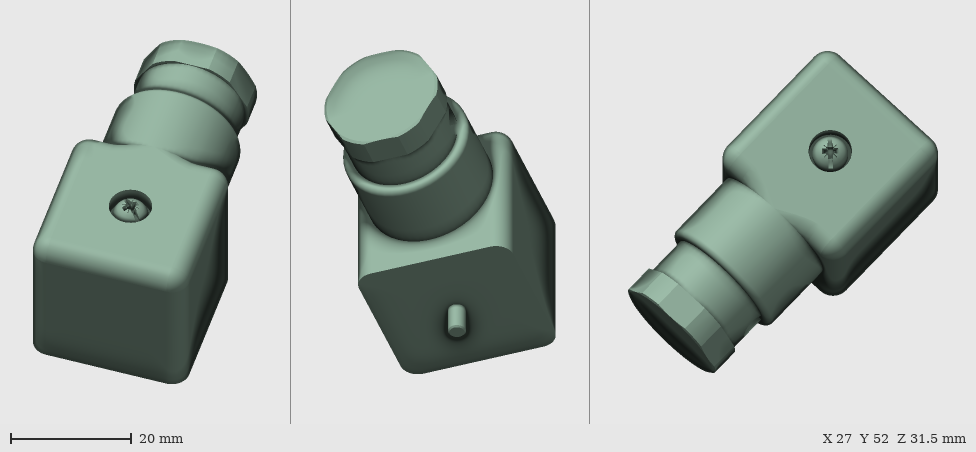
import cadquery as cq
import math


block_side = 27.0
block_height = 26.5
block_round = 3.0
block_back = block_side / 2

overall_length = 52.0
collar_radius = 11.0
collar_length = 13.0
collar_round = 1.0
neck_radius = 9.3
nut_length = 5.0
nut_flats = 18.95
nut_corner_radius = 9.95
nut_chamfer_length = 0.2
nut_turn = 30
axis_height = block_height - collar_radius
nut_end = overall_length - block_back
nut_start = nut_end - nut_length

blend_half_width = math.sqrt(collar_radius**2 - (collar_radius - block_round) ** 2)
blend_steps = 8

mark_recess_diameter = 4.6
mark_disc_diameter = 2.5
mark_recess_depth = 1.55
mark_disc_height = 0.2
mark_y = 28.5

bore_diameter = 7.2
bore_depth = 3.0
washer_diameter = 6.7
washer_thickness = 0.5
head_diameter = 5.95
dome_radius = 3.1
dome_rise = 0.3
shank_diameter = 3.0
shank_length = 4.8
shank_chamfer = 0.25

drive_angle = 45
slot_width = 0.75
slot_floor = block_height - 1.2
cross_width = 0.9
cross_top_reach = 1.5
cross_floor_reach = 0.8
cross_floor = block_height - 1.85
cross_center_top_radius = 0.9
cross_center_floor_radius = 0.2
notch_width = 0.1
notch_reach = 1.5
notch_floor = block_height - 0.5


def along_entry(y):
    """Work plane across the cable entry axis, facing +Y."""
    return cq.Workplane(cq.Plane(origin=(0, y, axis_height), xDir=(1, 0, 0), normal=(0, 1, 0)))


def round_inset(x):
    """How far the back top rounding reaches in from the back face, at a distance x from the middle.

    The rounding keeps its radius and passes through the rim of the collar.
    """
    rim_drop = collar_radius - math.sqrt(collar_radius**2 - x**2)
    return math.sqrt(max(block_round**2 - (block_round - rim_drop) ** 2, 0))


def rounding_cutter():
    """Concave cutter for one half of the back top rounding, between the middle and the straight part."""
    sections = []
    for i in range(blend_steps + 1):
        x = blend_half_width * i / blend_steps
        arc_start = block_back - round_inset(x)
        diagonal = block_round * math.sqrt(0.5)
        wire = (
            cq.Workplane("YZ", origin=(x, arc_start, block_height))
            .moveTo(0, 0)
            .threePointArc((diagonal, diagonal - block_round), (block_round, -block_round))
            .lineTo(block_round, block_round)
            .lineTo(0, block_round)
            .close()
        )
        sections.append(wire.val())
    return cq.Workplane(cq.Solid.makeLoft(sections))


def make_block():
    block = (
        cq.Workplane("XY")
        .box(block_side, block_side, block_height, centered=(True, True, False))
        .edges("|Z or >Z")
        .fillet(block_round)
    )
    fill = cq.Workplane("XY", origin=(0, block_back - block_round, block_height - block_round)).box(
        2 * blend_half_width, block_round, block_round, centered=(True, False, False)
    )
    cutter = rounding_cutter()
    return block.union(fill).cut(cutter).cut(cutter.mirror("YZ"))


def make_neck():
    neck = along_entry(block_back).circle(neck_radius).extrude(nut_start - block_back)
    floor_x = mark_recess_depth - neck_radius
    floor = cq.Workplane("YZ", origin=(floor_x, mark_y, axis_height))
    recess = floor.circle(mark_recess_diameter / 2).extrude(-neck_radius)
    disc = floor.circle(mark_disc_diameter / 2).extrude(-mark_disc_height)
    return neck.cut(recess).union(disc)


def make_collar():
    return (
        along_entry(block_back)
        .circle(collar_radius)
        .extrude(collar_length)
        .faces(">Y")
        .edges()
        .fillet(collar_round)
    )


def make_nut():
    hexagon = (
        along_entry(nut_start)
        .polygon(6, nut_flats, circumscribed=True)
        .extrude(nut_length)
        .rotate((0, 0, axis_height), (0, 1, axis_height), nut_turn)
    )
    envelope = (
        along_entry(nut_start)
        .circle(nut_corner_radius)
        .extrude(nut_length)
        .faces(">Y")
        .chamfer(nut_chamfer_length, nut_corner_radius - nut_flats / 2)
    )
    return hexagon.intersect(envelope)


def make_drive():
    """Everything removed from the screw head for the driver."""
    top = block_height + dome_rise
    slot = cq.Workplane("XY", origin=(0, 0, slot_floor)).box(
        head_diameter, slot_width, top - slot_floor, centered=(True, True, False)
    )
    drive = slot.rotate((0, 0, 0), (0, 0, 1), -drive_angle)
    arm = (
        cq.Workplane("XZ")
        .moveTo(-cross_floor_reach, cross_floor)
        .lineTo(cross_floor_reach, cross_floor)
        .lineTo(cross_top_reach, top)
        .lineTo(-cross_top_reach, top)
        .close()
        .extrude(cross_width / 2, both=True)
    )
    for angle in (drive_angle, -drive_angle):
        drive = drive.union(arm.rotate((0, 0, 0), (0, 0, 1), angle))
    center = cq.Solid.makeCone(
        cross_center_floor_radius, cross_center_top_radius, top - cross_floor, pnt=(0, 0, cross_floor)
    )
    drive = drive.union(cq.Workplane(center))
    for length_x, length_y in ((2 * notch_reach, notch_width), (notch_width, 2 * notch_reach)):
        notch = cq.Workplane("XY", origin=(0, 0, notch_floor)).box(
            length_x, length_y, top - notch_floor, centered=(True, True, False)
        )
        drive = drive.union(notch)
    return drive


def make_screw_head():
    seat = block_height - bore_depth
    washer = cq.Workplane("XY", origin=(0, 0, seat)).circle(washer_diameter / 2).extrude(washer_thickness)
    dome_center = block_height + dome_rise - dome_radius
    dome = cq.Workplane("XY", origin=(0, 0, dome_center)).sphere(dome_radius)
    barrel = cq.Workplane("XY", origin=(0, 0, seat)).circle(head_diameter / 2).extrude(bore_depth + dome_rise)
    return barrel.intersect(dome).cut(make_drive()).union(washer)


def make_shank():
    return (
        cq.Workplane("XY")
        .circle(shank_diameter / 2)
        .extrude(-shank_length)
        .faces("<Z")
        .chamfer(shank_chamfer)
    )


bore = cq.Workplane("XY", origin=(0, 0, block_height)).circle(bore_diameter / 2).extrude(-bore_depth)

result = (
    make_block()
    .cut(bore)
    .union(make_neck())
    .union(make_collar())
    .union(make_nut())
    .union(make_screw_head())
    .union(make_shank())
)